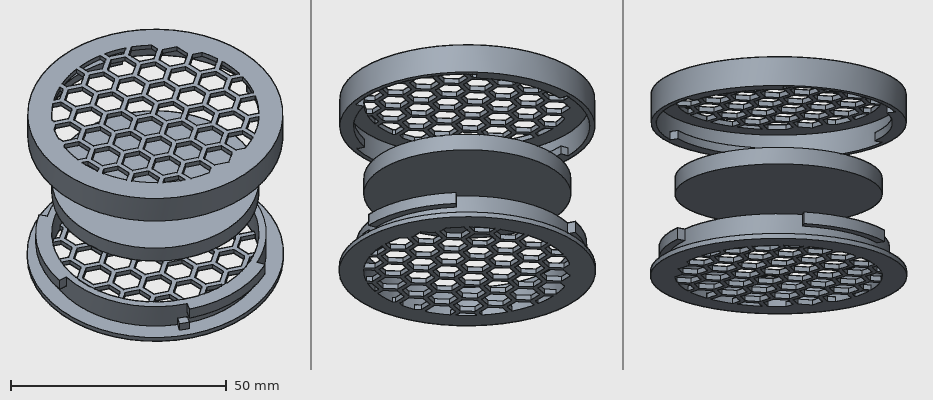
import cadquery as cq
import math

plate_thickness = 1.2
rim_height = 6.0
grille_diameter = 48.0
lug_count = 3
lug_spacing = 360.0 / lug_count
lug_angle = 50.0
lug_projection = 2.0
lug_root = 1.0

cell_width = 6.0
cell_gap = 1.2
cell_pitch = cell_width + cell_gap
cell_corner_diameter = cell_width * 2 / math.sqrt(3)
row_pitch = cell_pitch * math.sqrt(3) / 2
honeycomb_offset_y = 3.5
honeycomb_reach = 5
cell_centre_limit = 26.0

flange_diameter = 59.4
rim_diameter = 51.4
base_height = plate_thickness + rim_height
lug_diameter = rim_diameter + 2 * lug_projection
lug_height = 2.8
lug_bottom = base_height - lug_height
stop_height = 2.0
stop_start = -5.0
stop_angle = 5.0

disc_thickness = 4.0
disc_bottom = 19.8

lid_diameter = 59.1
lid_bore_diameter = 56.7
lid_height = 7.0
lid_bottom = 37.1
lid_lug_height = 2.0
lid_lug_diameter = lid_bore_diameter - 2 * lug_projection
lid_lug_start = 60.0


def cylinder(diameter, bottom, height):
    return cq.Workplane("XY").workplane(offset=bottom).circle(diameter / 2).extrude(height)


def polar(radius, degrees):
    angle = math.radians(degrees)
    return (radius * math.cos(angle), radius * math.sin(angle))


def ring_sector(inner_diameter, outer_diameter, start, sweep, bottom, height):
    """Curved block between two diameters, with radial end faces."""
    inner = inner_diameter / 2
    outer = outer_diameter / 2
    middle = start + sweep / 2
    end = start + sweep
    return (
        cq.Workplane("XY")
        .workplane(offset=bottom)
        .moveTo(*polar(inner, start))
        .lineTo(*polar(outer, start))
        .threePointArc(polar(outer, middle), polar(outer, end))
        .lineTo(*polar(inner, end))
        .threePointArc(polar(inner, middle), polar(inner, start))
        .close()
        .extrude(height)
    )


def honeycomb_openings(bottom, height):
    """Hexagonal prisms in staggered rows, trimmed to the grille circle."""
    centres = []
    for row in range(-honeycomb_reach, honeycomb_reach + 1):
        stagger = cell_pitch / 2 * (row % 2)
        y = honeycomb_offset_y + row * row_pitch
        for column in range(-honeycomb_reach, honeycomb_reach + 1):
            x = column * cell_pitch + stagger
            if math.hypot(x, y) < cell_centre_limit:
                centres.append((x, y))
    sides = 6
    step = 360 / sides
    corners = [polar(cell_corner_diameter / 2, (corner + 0.5) * step) for corner in range(sides)]
    hexagon = cq.Sketch().polygon(corners + corners[:1])
    cells = (
        cq.Workplane("XY")
        .workplane(offset=bottom)
        .pushPoints(centres)
        .placeSketch(hexagon)
        .extrude(height)
    )
    return cells.intersect(cylinder(grille_diameter, bottom, height))


def make_base():
    """Flanged grille with a rim, three bayonet lugs at its top and one stop on the flange."""
    base = cylinder(flange_diameter, 0, plate_thickness)
    base = base.union(cylinder(rim_diameter, 0, base_height))
    inner = rim_diameter - lug_root
    for index in range(lug_count):
        start = index * lug_spacing
        lug = ring_sector(inner, lug_diameter, start, lug_angle, lug_bottom, lug_height)
        base = base.union(lug)
    stop = ring_sector(inner, lug_diameter, stop_start, stop_angle, plate_thickness, stop_height)
    base = base.union(stop)
    base = base.cut(cylinder(grille_diameter, plate_thickness, rim_height))
    return base.cut(honeycomb_openings(0, plate_thickness))


def make_disc():
    return cylinder(grille_diameter, disc_bottom, disc_thickness)


def make_lid():
    """Cap with a grille top and three inward lugs at its open lower edge."""
    plate_bottom = lid_bottom + lid_height - plate_thickness
    lid = cylinder(lid_diameter, lid_bottom, lid_height)
    lid = lid.cut(cylinder(lid_bore_diameter, lid_bottom, lid_height - plate_thickness))
    outer = lid_bore_diameter + lug_root
    for index in range(lug_count):
        start = lid_lug_start + index * lug_spacing
        lug = ring_sector(lid_lug_diameter, outer, start, lug_angle, lid_bottom, lid_lug_height)
        lid = lid.union(lug)
    return lid.cut(honeycomb_openings(plate_bottom, plate_thickness))


base = make_base()
disc = make_disc()
lid = make_lid()
result = cq.Compound.makeCompound([base.val(), disc.val(), lid.val()])